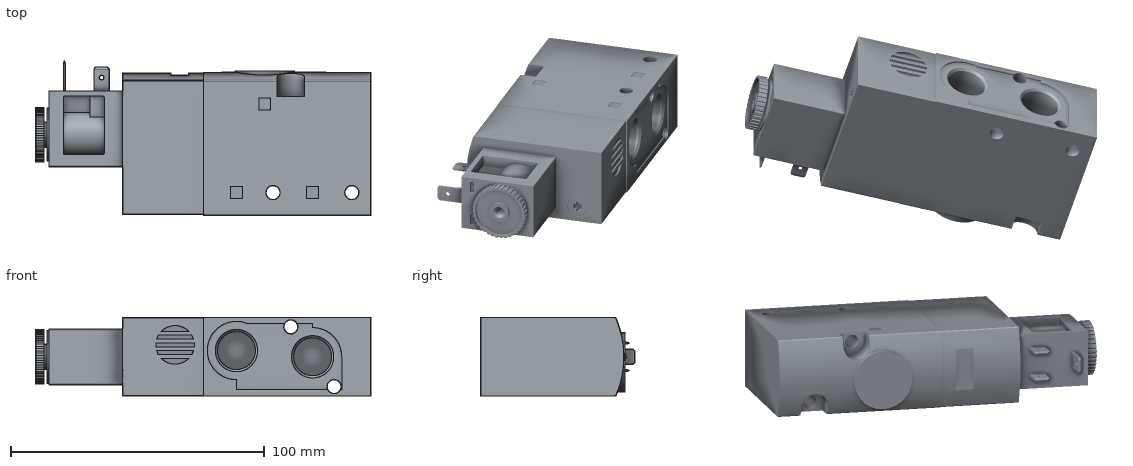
import cadquery as cq
import math


TOTAL_LENGTH = 132.2
HEIGHT = 31.0
MID_Z = HEIGHT / 2
COIL_START = 5.3
PILOT_START = 34.4
VALVE_START = 66.2

VALVE_ARCH_PEAK = 56.4
VALVE_ARCH_EDGE = 53.3
VALVE_EDGE_FILLET = 0.7
PILOT_FRONT = 0.4
PILOT_INSET_Z = 0.1
PILOT_EDGE_CHAMFER = 0.4
PILOT_ARCH_PEAK = 56.0
PILOT_ARCH_EDGE = 53.3

PORT_DIAMETER = 14.9
PORT_MOUTH_DIAMETER = 16.7
PORT_DEPTH = 18.5
PORT_1_X = 79.2
PORT_1_Z = 18.0
PORT_2_X = 109.2
PORT_2_Z = MID_Z

GASKET_RADIUS = 11.5
GASKET_DEPTH = 0.7
GASKET_TOP = 28.5
GASKET_BOTTOM = 2.6

BOSS_DIAMETER = 23.4
BOSS_X = 90.3
BOSS_Z = 13.3
BOSS_FACE = 57.0

MOUNTING_HOLE_DIAMETER = 5.4
VERTICAL_HOLE_XS = (93.5, 124.6)
VERTICAL_HOLE_Y = 9.0
UPPER_CROSS_HOLE_X = 100.6
LOWER_CROSS_HOLE_X = 117.6
CROSS_HOLE_OFFSET_Z = 11.8
SEAT_WIDTH = 10.7
SEAT_Y = 46.8

LABEL_SIZE = 4.6
LABEL_DEPTH = 0.3
BOSS_LABEL_Y = 43.9

VENT_DIAMETER = 15.2
VENT_X = 55.0
VENT_Z = 20.2
VENT_SLOT_HEIGHT = 1.6
VENT_PITCH = 3.0
VENT_SLOTS = 5
VENT_DEPTH = 0.8
GROOVE_WIDTH = 7.0
GROOVE_X = 56.8
GROOVE_FLOOR = 55.2

SCREW_DIAMETER = 7.9
SCREW_HOLE_DIAMETER = 8.0
SCREW_LENGTH = 4.0
LOWER_SCREW_Y = 10.3
LOWER_SCREW_Z = 6.2
UPPER_SCREW_Y = 47.8
UPPER_SCREW_Z = 24.7
SCREW_PLACES = ((LOWER_SCREW_Y, LOWER_SCREW_Z), (UPPER_SCREW_Y, UPPER_SCREW_Z))
DRIVE_WIDTH = 3.3
DRIVE_HEIGHT = 2.5
DRIVE_RIB_WIDTH = 0.9
DRIVE_RIB_HEIGHT = 4.2
DRIVE_DEPTH = 2.0

COIL_FRONT = 19.2
COIL_BACK = 49.0
COIL_HEIGHT = 22.1
COIL_TOP = MID_Z + COIL_HEIGHT / 2
COIL_FILLET = 0.4
COIL_AXIS_Y = 31.8
FLANGE_DIAMETER = 20.9
FLANGE_LENGTH = 0.8

WINDOW_START = 11.0
WINDOW_END = 27.1
WINDOW_FRONT = 23.9
WINDOW_BACK = 47.0
WINDOW_CORNER = 0.8
WINDOW_DEPTH = 7.1
WINDING_RADIUS = 9.5
STEP_START = 21.4
STEP_DEPTH = 4.5

SLOT_WIDTH = 1.6
SLOT_Y = 44.7
SLOT_INNER_OFFSET = 4.6
SLOT_STEP_OFFSET = 7.0
SLOT_OUTER_OFFSET = 9.4
SLOT_OUTER_DEPTH = 1.6
SLOT_INNER_DEPTH = 1.2

BLADE_WIDTH = 6.1
BLADE_THICKNESS = 0.8
BLADE_CORNER = 0.8
BLADE_BEVEL_LENGTH = 1.0
BLADE_BEVEL_DEPTH = 0.3
BLADE_HOLE_DIAMETER = 1.7
BLADE_HOLE_SETBACK = 4.2
END_BLADE_X = 11.4
END_BLADE_TIP = 60.8
SIDE_BLADE_X = 26.0
SIDE_BLADE_TIP = 58.5
SIDE_BLADE_OFFSET_Z = 5.4

NUT_DIAMETER = 21.5
NUT_THICKNESS = 3.5
NUT_RECESS_DIAMETER = 19.3
NUT_RECESS_DEPTH = 1.3
NUT_BOSS_DIAMETER = 7.9
NUT_BOSS_HEIGHT = 0.8
NUT_HUB_DIAMETER = 10.0
NUT_HOLE_DIAMETER = 3.0
NUT_HOLE_MOUTH_DIAMETER = 4.8
NUT_HOLE_MOUTH_DEPTH = 0.5
NUT_HOLE_DEPTH = 3.3
NUT_HOLE_END_DIAMETER = 0.9
KNURLS = 36
KNURL_DIAMETER = 0.9


def box(start, end):
    """Box between two opposite corners."""
    size = [high - low for low, high in zip(start, end)]
    return cq.Workplane("XY").box(*size, centered=False).translate(start)


def rod_x(diameter, start, end, y, z):
    """Cylinder along X."""
    return cq.Workplane("YZ", origin=(start, y, z)).circle(diameter / 2).extrude(end - start)


def rod_y(diameter, start, end, x, z):
    """Cylinder along Y."""
    return cq.Workplane("XZ", origin=(x, start, z)).circle(diameter / 2).extrude(start - end)


def arched_block(start, end, front, edge, peak, inset):
    """Block with an arched back face, inset from full height."""
    top = HEIGHT - inset
    return (
        cq.Workplane("YZ", origin=(start, 0, 0))
        .moveTo(edge, inset)
        .lineTo(front, inset)
        .lineTo(front, top)
        .lineTo(edge, top)
        .threePointArc((peak, MID_Z), (edge, inset))
        .close()
        .extrude(end - start)
    )


def arch_edges(block):
    """The two long edges where the arch meets the top and the bottom."""
    return block.faces(">Z or <Z").edges("|X and >Y")


def port(x, z):
    """Round port from the front face with a chamfered mouth."""
    chamfer = (PORT_MOUTH_DIAMETER - PORT_DIAMETER) / 2
    mouth_end = GASKET_DEPTH + chamfer
    return (
        cq.Workplane("XY")
        .moveTo(0, 0)
        .lineTo(PORT_MOUTH_DIAMETER / 2, 0)
        .lineTo(PORT_MOUTH_DIAMETER / 2, GASKET_DEPTH)
        .lineTo(PORT_DIAMETER / 2, mouth_end)
        .lineTo(PORT_DIAMETER / 2, PORT_DEPTH)
        .lineTo(0, PORT_DEPTH)
        .close()
        .revolve(360, (0, 0, 0), (0, 1, 0))
        .translate((x, 0, z))
    )


def gasket_recess():
    """Shallow recess that follows the two ports."""
    rise = GASKET_TOP - PORT_1_Z
    arc_end_x = PORT_1_X + math.sqrt(GASKET_RADIUS**2 - rise**2)
    diagonal = GASKET_RADIUS * math.sqrt(0.5)
    right = PORT_2_X + GASKET_RADIUS
    return (
        cq.Workplane("XZ")
        .moveTo(PORT_1_X, PORT_1_Z - GASKET_RADIUS)
        .threePointArc((PORT_1_X - GASKET_RADIUS, PORT_1_Z), (arc_end_x, GASKET_TOP))
        .lineTo(PORT_2_X, GASKET_TOP)
        .lineTo(PORT_2_X, PORT_2_Z + GASKET_RADIUS)
        .threePointArc((PORT_2_X + diagonal, PORT_2_Z + diagonal), (right, PORT_2_Z))
        .lineTo(right, GASKET_BOTTOM)
        .lineTo(PORT_1_X, GASKET_BOTTOM)
        .close()
        .extrude(-GASKET_DEPTH)
    )


def cross_hole(x, side):
    """Mounting hole along Y with a round-bottomed screw seat open to the top (1) or bottom (-1)."""
    hole_z = MID_Z + side * CROSS_HOLE_OFFSET_Z
    outer_z = MID_Z + side * HEIGHT
    low, high = sorted((hole_z, outer_z))
    hole = rod_y(MOUNTING_HOLE_DIAMETER, 0, BOSS_FACE, x, hole_z)
    seat = rod_y(SEAT_WIDTH, SEAT_Y, BOSS_FACE, x, hole_z)
    opening = box((x - SEAT_WIDTH / 2, SEAT_Y, low), (x + SEAT_WIDTH / 2, BOSS_FACE, high))
    return hole.union(seat).union(opening)


def label_recess(x, y):
    """Square recess in the top face."""
    half = LABEL_SIZE / 2
    return box((x - half, y - half, HEIGHT - LABEL_DEPTH), (x + half, y + half, HEIGHT))


def make_valve_body():
    body = arched_block(VALVE_START, TOTAL_LENGTH, 0, VALVE_ARCH_EDGE, VALVE_ARCH_PEAK, 0)
    body = arch_edges(body).fillet(VALVE_EDGE_FILLET)
    body = body.union(rod_y(BOSS_DIAMETER, SEAT_Y, BOSS_FACE, BOSS_X, BOSS_Z))
    body = body.cut(gasket_recess())
    body = body.cut(port(PORT_1_X, PORT_1_Z))
    body = body.cut(port(PORT_2_X, PORT_2_Z))
    body = body.cut(cross_hole(UPPER_CROSS_HOLE_X, 1))
    body = body.cut(cross_hole(LOWER_CROSS_HOLE_X, -1))
    for x in VERTICAL_HOLE_XS:
        hole = cq.Workplane("XY", origin=(x, VERTICAL_HOLE_Y, 0))
        body = body.cut(hole.circle(MOUNTING_HOLE_DIAMETER / 2).extrude(HEIGHT))
    body = body.cut(label_recess(PORT_1_X, VERTICAL_HOLE_Y))
    body = body.cut(label_recess(PORT_2_X, VERTICAL_HOLE_Y))
    return body.cut(label_recess(BOSS_X, BOSS_LABEL_Y))


def vent_slots():
    """Row of horizontal slots trimmed to a circle."""
    disc = rod_y(VENT_DIAMETER, PILOT_FRONT, PILOT_FRONT + VENT_DEPTH, VENT_X, VENT_Z)
    first_bar_z = VENT_Z - (VENT_SLOTS - 2) / 2 * VENT_PITCH
    bar_height = VENT_PITCH - VENT_SLOT_HEIGHT
    for index in range(VENT_SLOTS - 1):
        bar_z = first_bar_z + index * VENT_PITCH
        bar = cq.Workplane("XY").box(VENT_DIAMETER, 2 * VENT_DEPTH, bar_height)
        disc = disc.cut(bar.translate((VENT_X, PILOT_FRONT, bar_z)))
    return disc


def make_pilot_block():
    block = arched_block(
        PILOT_START,
        VALVE_START,
        PILOT_FRONT,
        PILOT_ARCH_EDGE,
        PILOT_ARCH_PEAK,
        PILOT_INSET_Z,
    )
    block = arch_edges(block).chamfer(PILOT_EDGE_CHAMFER)
    block = block.cut(vent_slots())
    groove_start = GROOVE_X - GROOVE_WIDTH / 2
    groove_end = GROOVE_X + GROOVE_WIDTH / 2
    block = block.cut(box((groove_start, GROOVE_FLOOR, 0), (groove_end, PILOT_ARCH_PEAK, HEIGHT)))
    for y, z in SCREW_PLACES:
        block = block.cut(rod_x(SCREW_HOLE_DIAMETER, PILOT_START, PILOT_START + SCREW_LENGTH, y, z))
    return block


def make_screw(y, z):
    """Flush screw head with a four-lobed drive recess."""
    head = rod_x(SCREW_DIAMETER, PILOT_START, PILOT_START + SCREW_LENGTH, y, z)
    face = cq.Workplane("YZ", origin=(PILOT_START, y, z))
    head = head.cut(face.rect(DRIVE_WIDTH, DRIVE_HEIGHT).extrude(DRIVE_DEPTH))
    return head.cut(face.rect(DRIVE_RIB_WIDTH, DRIVE_RIB_HEIGHT).extrude(DRIVE_DEPTH))


def coil_window():
    """Stepped pocket from the top of the coil that leaves the round winding standing."""
    pocket = box(
        (WINDOW_START, WINDOW_FRONT, COIL_TOP - WINDOW_DEPTH), (WINDOW_END, WINDOW_BACK, COIL_TOP)
    )
    pocket = pocket.edges("|Z").fillet(WINDOW_CORNER)
    step = box(
        (STEP_START, COIL_AXIS_Y, COIL_TOP - WINDOW_DEPTH),
        (WINDOW_END, WINDOW_BACK, COIL_TOP - STEP_DEPTH),
    )
    winding = rod_x(2 * WINDING_RADIUS, WINDOW_START, WINDOW_END, COIL_AXIS_Y, MID_Z)
    return pocket.cut(step).cut(winding)


def end_slot(side):
    """Two-depth slot in the end face, above (1) or below (-1) the middle height."""
    slot = cq.Workplane("XY")
    parts = (
        (SLOT_INNER_OFFSET, SLOT_STEP_OFFSET, SLOT_INNER_DEPTH),
        (SLOT_STEP_OFFSET, SLOT_OUTER_OFFSET, SLOT_OUTER_DEPTH),
    )
    for inner, outer, depth in parts:
        low, high = sorted((MID_Z + side * inner, MID_Z + side * outer))
        slot = slot.union(
            box(
                (COIL_START, SLOT_Y - SLOT_WIDTH / 2, low),
                (COIL_START + depth, SLOT_Y + SLOT_WIDTH / 2, high),
            )
        )
    return slot


def blade(tip):
    """Flat terminal on the XY plane that points along Y, with clipped corners and a beveled tip."""
    length = tip - COIL_BACK
    body = (
        cq.Workplane("XY")
        .box(BLADE_WIDTH, length, BLADE_THICKNESS, centered=(True, False, True))
        .edges("|Z and >Y")
        .chamfer(BLADE_CORNER)
    )
    half = BLADE_THICKNESS / 2
    profile = (
        cq.Workplane("YZ")
        .moveTo(0, -half)
        .lineTo(length - BLADE_BEVEL_LENGTH, -half)
        .lineTo(length, BLADE_BEVEL_DEPTH - half)
        .lineTo(length, half - BLADE_BEVEL_DEPTH)
        .lineTo(length - BLADE_BEVEL_LENGTH, half)
        .lineTo(0, half)
        .close()
        .extrude(BLADE_WIDTH / 2, both=True)
    )
    hole = (
        cq.Workplane("XY", origin=(0, length - BLADE_HOLE_SETBACK, 0))
        .circle(BLADE_HOLE_DIAMETER / 2)
        .extrude(BLADE_THICKNESS, both=True)
    )
    return body.intersect(profile).cut(hole)


def make_coil():
    coil = box(
        (COIL_START, COIL_FRONT, COIL_TOP - COIL_HEIGHT), (PILOT_START, COIL_BACK, COIL_TOP)
    )
    coil = coil.edges("|X and <Y").fillet(COIL_FILLET)
    coil = coil.cut(coil_window())
    coil = coil.union(
        rod_x(FLANGE_DIAMETER, COIL_START - FLANGE_LENGTH, COIL_START, COIL_AXIS_Y, MID_Z)
    )
    for side in (1, -1):
        coil = coil.cut(end_slot(side))
        side_blade_z = MID_Z + side * SIDE_BLADE_OFFSET_Z
        coil = coil.union(blade(SIDE_BLADE_TIP).translate((SIDE_BLADE_X, COIL_BACK, side_blade_z)))
    end_blade = blade(END_BLADE_TIP).rotate((0, 0, 0), (0, 1, 0), 90)
    return coil.union(end_blade.translate((END_BLADE_X, COIL_BACK, MID_Z)))


def nut_hole(start):
    """Blind hole along the nut axis with a countersunk mouth and a tapered bore."""
    return (
        cq.Workplane("XY")
        .lineTo(0, NUT_HOLE_MOUTH_DIAMETER / 2)
        .lineTo(NUT_HOLE_MOUTH_DEPTH, NUT_HOLE_DIAMETER / 2)
        .lineTo(NUT_HOLE_DEPTH, NUT_HOLE_END_DIAMETER / 2)
        .lineTo(NUT_HOLE_DEPTH, 0)
        .close()
        .revolve(360, (0, 0, 0), (1, 0, 0))
        .translate((start, COIL_AXIS_Y, MID_Z))
    )


def make_nut():
    """Knurled nut with a dished face and a hub that bears on the coil flange."""
    hub_end = COIL_START - FLANGE_LENGTH
    boss_start = NUT_RECESS_DEPTH - NUT_BOSS_HEIGHT
    nut = rod_x(NUT_DIAMETER, 0, NUT_THICKNESS, COIL_AXIS_Y, MID_Z)
    knurls = (
        cq.Workplane("YZ", origin=(0, COIL_AXIS_Y, MID_Z))
        .polarArray(NUT_DIAMETER / 2, 0, 360, KNURLS)
        .circle(KNURL_DIAMETER / 2)
        .extrude(NUT_THICKNESS)
    )
    nut = nut.cut(knurls)
    nut = nut.cut(rod_x(NUT_RECESS_DIAMETER, 0, NUT_RECESS_DEPTH, COIL_AXIS_Y, MID_Z))
    nut = nut.union(rod_x(NUT_BOSS_DIAMETER, boss_start, NUT_THICKNESS, COIL_AXIS_Y, MID_Z))
    nut = nut.union(rod_x(NUT_HUB_DIAMETER, NUT_THICKNESS, hub_end, COIL_AXIS_Y, MID_Z))
    return nut.cut(nut_hole(boss_start))


valve_body = make_valve_body()
pilot_block = make_pilot_block()
coil = make_coil()
nut = make_nut()
screws = [make_screw(y, z) for y, z in SCREW_PLACES]

result = cq.Compound.makeCompound(
    [valve_body.val(), pilot_block.val(), coil.val(), nut.val(), *[screw.val() for screw in screws]]
)